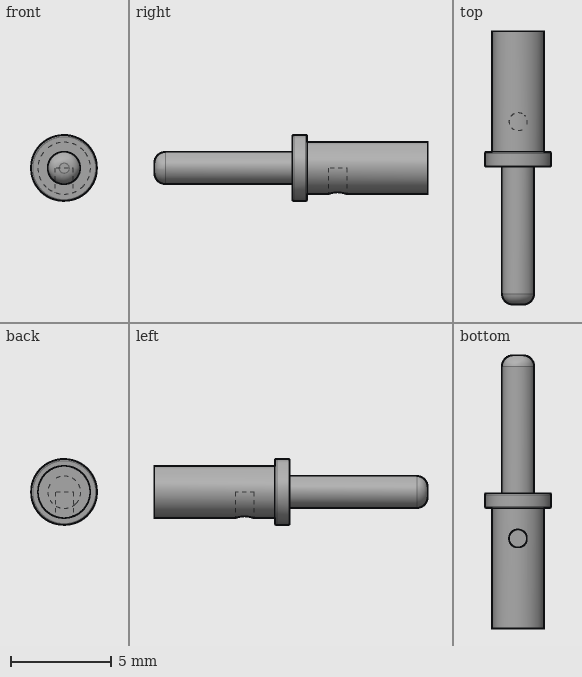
import cadquery as cq

total_length = 13.65
barrel_diameter = 2.61
barrel_length = 6.02
flange_diameter = 3.3
flange_thickness = 0.75
flange_edge_radius = 0.08
pin_diameter = 1.62
nose_radius = 0.56

hole_diameter = 0.9
hole_from_barrel_end = 4.5

pin_length = total_length - barrel_length - flange_thickness
barrel_start = pin_length + flange_thickness


def rod(diameter, start, length):
    """Round bar on the Y axis, running from start toward +Y."""
    plane = cq.Plane(origin=(0, start, 0), xDir=(1, 0, 0), normal=(0, 1, 0))
    return cq.Workplane(plane).circle(diameter / 2).extrude(length)


def inspection_hole():
    """Radial hole from the underside of the barrel to its axis."""
    hole_y = total_length - hole_from_barrel_end
    return (
        cq.Workplane("XY")
        .center(0, hole_y)
        .circle(hole_diameter / 2)
        .extrude(-barrel_diameter)
    )


pin = rod(pin_diameter, 0, pin_length).faces("<Y").edges().fillet(nose_radius)
flange = rod(flange_diameter, pin_length, flange_thickness)
flange = flange.faces("<Y or >Y").edges().fillet(flange_edge_radius)
barrel = rod(barrel_diameter, barrel_start, barrel_length).cut(inspection_hole())

result = pin.union(flange).union(barrel)